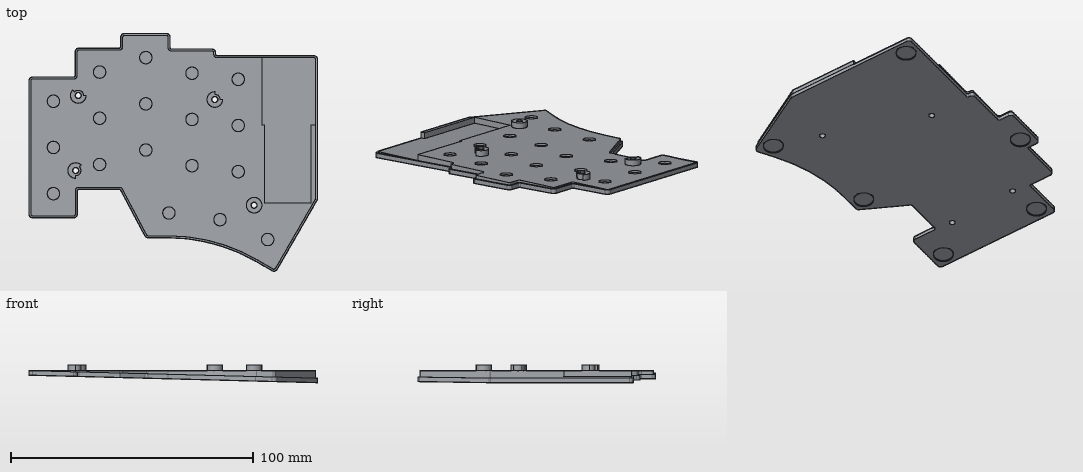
import cadquery as cq
import math

length = 119.2
depth = 98.2
floor_left = 1.9
floor_drop = 3.1
floor_right = floor_left + floor_drop
ledge_width = 0.8

convex_radius = 1.5
concave_radius = 0.6
front_left = 22.0
notch_left = 20.0
notch_right = 37.7
notch_back = 33.9
thumb_left = 48.3
thumb_front = 13.8
thumb_angle = 30
fan_start = 57.5
fan_radius = 72.2

back_steps = [(19.1, 80.2), (37.9, 92.1), (58.3, depth), (77.1, 91.8), (length, 89.0)]

key_pitch = 19.1
key_rows = 3
first_column = 10.1
column_backs = [70.2, 82.3, 88.2, 81.8, 79.3]
thumb_keys = [(57.8, 24.1), (78.9, 21.3), (98.6, 13.1)]
dimple_diameter = 5.1
dimple_depth = 0.8

bosses = [(20.4, 72.6, 0, 135), (19.3, 41.6, -90, 135), (76.8, 70.9, 0, 90), (93.0, 27.3, 0, 0)]
boss_diameter = 6.4
boss_height = 2.4
screw_diameter = 2.4
relief_radius = 2.1

bay_left = 96.3
bay_step = 60.3
bay_front = 28.3
bay_front_left = 97.3
bay_front_right = 116.5
bay_depth = 2.5

foot_diameter = 8.2
foot_depth = 0.6
foot_inset = 5.7


def polar(origin, distance, degrees):
    angle = math.radians(degrees)
    return (origin[0] + distance * math.cos(angle), origin[1] + distance * math.sin(angle))


fan_centre = (fan_start, thumb_front - fan_radius)
fan_middle = polar(fan_centre, fan_radius, 90 - thumb_angle / 2)
fan_end = polar(fan_centre, fan_radius, 90 - thumb_angle)

turn = math.radians(thumb_angle)
tip_y = convex_radius * (1 - math.sin(turn) - math.cos(turn))
tip = (fan_end[0] + (fan_end[1] - tip_y) / math.tan(turn), tip_y)
right_front = (length, tip_y + (length - tip[0]) / math.tan(turn))


def back_outline():
    """Corners of the stepped back edge from left to right, and the convex and concave ones among them."""
    start = (0, back_steps[0][1])
    points = [start]
    convex = [start, back_steps[-1]]
    concave = []
    for (x, y), (_, next_y) in zip(back_steps, back_steps[1:]):
        points += [(x, y), (x, next_y)]
        convex.append((x, max(y, next_y)))
        concave.append((x, min(y, next_y)))
    points.append(back_steps[-1])
    return points, convex, concave


def lower_prism():
    """Prism of the lower outline with rounded corners, from the deck down to the lowest level."""
    back, back_convex, back_concave = back_outline()
    notch = [(notch_left, notch_back), (notch_right, notch_back)]
    front_convex = [(0, front_left), (notch_left, front_left), (thumb_left, thumb_front), tip, right_front]

    outline = (
        cq.Workplane("XY")
        .polyline([(0, front_left), (notch_left, front_left), *notch, (thumb_left, thumb_front)])
        .lineTo(fan_start, thumb_front)
        .threePointArc(fan_middle, fan_end)
        .lineTo(*tip)
        .lineTo(*right_front)
    )
    for point in reversed(back):
        outline = outline.lineTo(*point)
    prism = outline.close().extrude(-floor_right)

    for corners, radius in (
        (front_convex + back_convex, convex_radius),
        (notch + back_concave, concave_radius),
    ):
        for x, y in corners:
            corner_edge = cq.selectors.NearestToPointSelector((x, y, -floor_right / 2))
            prism = prism.edges(corner_edge).fillet(radius)
    return prism


def wedge(top_left, top_right):
    """Slab over the whole plan, from the tilted underside up to the given heights at x = 0 and x = length."""
    return (
        cq.Workplane("XZ")
        .polyline([(0, top_left), (length, top_right), (length, -floor_right), (0, -floor_left)])
        .close()
        .extrude(-depth)
    )


def plate():
    """Lower outline up to the tilted ledge, and the inset outline up to the deck."""
    lower = lower_prism()
    rim = lower.faces(">Z").wires().toPending().workplane()
    upper = rim.offset2D(-ledge_width).extrude(-floor_right, combine=False)
    return lower.intersect(wedge(0, -floor_drop)).union(upper.intersect(wedge(0, 0)))


def controller_bay():
    """Bay open to the back and, behind its step, to the right."""
    return (
        cq.Workplane("XY")
        .moveTo(bay_left, depth)
        .lineTo(bay_left, bay_step)
        .lineTo(bay_front_left, bay_step)
        .lineTo(bay_front_left, bay_front)
        .lineTo(bay_front_right, bay_front)
        .lineTo(bay_front_right, bay_step)
        .lineTo(length, bay_step)
        .lineTo(length, depth)
        .close()
        .extrude(-bay_depth)
    )


def key_dimples():
    keys = list(thumb_keys)
    for column, back_y in enumerate(column_backs):
        for row in range(key_rows):
            keys.append((first_column + column * key_pitch, back_y - row * key_pitch))
    return cq.Workplane("XY").pushPoints(keys).circle(dimple_diameter / 2).extrude(-dimple_depth)


def screw_boss(x, y, start, sweep):
    """Round boss, thinned to the relief radius within the given sector."""
    boss = cq.Workplane("XY").circle(boss_diameter / 2).extrude(boss_height)
    if sweep > 0:
        rays = [polar((0, 0), boss_diameter, start + sweep * part) for part in (0, 0.5, 1)]
        sector = cq.Workplane("XY").polyline([(0, 0), *rays]).close().extrude(boss_height)
        core = cq.Workplane("XY").circle(relief_radius).extrude(boss_height)
        boss = boss.cut(sector).union(core)
    return boss.translate((x, y, 0))


def screw_holes():
    return (
        cq.Workplane("XY", origin=(0, 0, boss_height))
        .pushPoints([(x, y) for x, y, _, _ in bosses])
        .circle(screw_diameter / 2)
        .extrude(-boss_height - floor_right)
    )


def corner_inset(corner, first_edge, second_edge):
    """Foot centre in a corner whose two edges leave it at the given angles, in degrees."""
    half_angle = (second_edge - first_edge) / 2
    distance = foot_inset / math.sin(math.radians(half_angle))
    return polar(corner, distance, first_edge + half_angle)


def foot_recesses():
    """Round recesses of even depth below the tilted underside."""
    notch_edge = math.degrees(math.atan2(notch_back - thumb_front, notch_right - thumb_left))
    tab_corner = (back_steps[1][0], depth)
    centres = [
        corner_inset((0, front_left), 0, 90),
        corner_inset((0, back_steps[0][1]), -90, 0),
        corner_inset(tab_corner, -90, 0),
        corner_inset(back_steps[-1], 180, 270),
        corner_inset((thumb_left, thumb_front), 0, notch_edge),
        corner_inset(tip, 90 - thumb_angle, 180 - thumb_angle),
    ]
    feet = cq.Workplane("XY").pushPoints(centres).circle(foot_diameter / 2).extrude(-floor_right)
    return feet.intersect(wedge(foot_depth - floor_left, foot_depth - floor_right))


result = plate().cut(controller_bay()).cut(key_dimples())
for boss in bosses:
    result = result.union(screw_boss(*boss))
result = result.cut(screw_holes()).cut(foot_recesses())